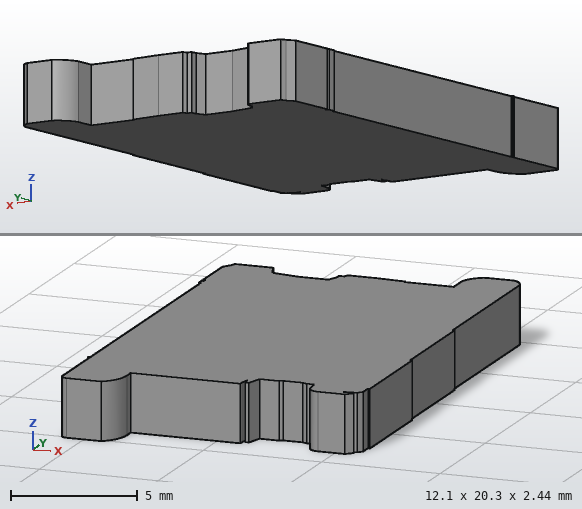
import cadquery as cq

width = 12.13
length = 20.32
thickness = 2.44
x_end = width / 2
y_end = length / 2

side_step = 0.08
left_x = -x_end + side_step
left_step_y = 5.4
right_middle_x = x_end - side_step
right_back_x = x_end - 2 * side_step
right_step_back_y = 2.15
right_step_middle_y = -2.76
right_step_front_y = -7.42

front_lug_flat_x = (-5.7, -4.23)
front_lug_inner_x = -3.62
front_lug_outer_round_y = -9.88
front_lug_outer_round_mid = (-5.9, -10.08)
front_lug_inner_round_y = -8.95
front_lug_inner_round_mid = (-3.82, -9.71)
back_lug_flat_x = (4.23, 5.4)
back_lug_inner_x = 3.55
back_lug_outer_round_y = 9.45
back_lug_outer_round_mid = (5.73, 9.94)
back_lug_inner_round_y = 9.3
back_lug_inner_round_mid = (3.8, 9.83)

front_short_lug_y = -8.58
front_short_lug_flat_x = (4.3, 5.45)
front_short_lug_root_x = 3.75
front_short_lug_round_start = (3.85, -8.2)
front_short_lug_round_mid = (3.98, -8.45)
back_short_lug_y = 8.62
back_short_lug_flat_x = (-5.75, -4.2)
back_short_lug_shoulder = (-4.08, 8.53)
back_short_lug_fillet_mid = (-3.9, 7.95)
back_short_lug_fillet_end = (-4.0, 8.17)
back_short_lug_outer_bend = (-5.83, 8.4)
back_short_lug_outer_y = 8.05

corner_slit_front = (5.73, -8.31)
corner_slit_tip = (5.26, -8.23)
corner_slit_back = (5.81, -8.17)
corner_cut_end_y = -7.97

front_land_y = -8.51
front_land_end_x = 1.02
land_slit_mouth_y = -8.27
land_slit_tip = (1.08, -7.9)
land_slit_tooth_x = (1.12, 1.28)

front_recess_y = -7.58
front_recess_start_x = 1.46
front_crown_y = -7.5
front_crown_base_x = (2.3, 3.45)
front_crown_top_x = (2.44, 3.25)

back_land_y = 8.58
back_land_flat_x = (-0.98, 0.2)
back_land_slope_end = (1.48, 8.5)
back_land_low_y = 8.41

back_ledge_y = 8.37
back_ledge_x = (-1.25, -1.05)
back_recess_wall_bend = (-1.28, 8.09)
back_recess_y = 7.68
back_recess_flat_x = (-2.75, -1.46)
back_recess_slope_end = (-3.7, 7.85)

left_notch_y = 5.83
left_notch_width = 0.12
left_tooth_y = -6.8
left_tooth_width = 0.08


def follow(path, *points):
    """Continue the outline with straight lines through the points."""
    for x, y in points:
        path = path.lineTo(x, y)
    return path


def front_edge(path):
    """Tall lug, land, recess and short lug, left to right."""
    path = path.moveTo(left_x, front_lug_outer_round_y)
    path = path.threePointArc(front_lug_outer_round_mid, (front_lug_flat_x[0], -y_end))
    path = path.lineTo(front_lug_flat_x[1], -y_end)
    path = path.threePointArc(front_lug_inner_round_mid, (front_lug_inner_x, front_lug_inner_round_y))
    path = follow(
        path,
        (front_lug_inner_x, front_land_y),
        (front_land_end_x, front_land_y),
        (front_land_end_x, land_slit_mouth_y),
        land_slit_tip,
        (land_slit_tooth_x[0], land_slit_mouth_y),
        (land_slit_tooth_x[1], land_slit_mouth_y),
        (front_recess_start_x, front_recess_y),
        (front_crown_base_x[0], front_recess_y),
        (front_crown_top_x[0], front_crown_y),
        (front_crown_top_x[1], front_crown_y),
        (front_crown_base_x[1], front_recess_y),
        (front_short_lug_root_x, front_recess_y),
        front_short_lug_round_start,
    )
    path = path.threePointArc(front_short_lug_round_mid, (front_short_lug_flat_x[0], front_short_lug_y))
    return path.lineTo(front_short_lug_flat_x[1], front_short_lug_y)


def right_side(path):
    """Cut corner with its slit, then the stepped side, front to back."""
    return follow(
        path,
        corner_slit_front,
        corner_slit_tip,
        corner_slit_back,
        (right_middle_x, corner_cut_end_y),
        (right_middle_x, right_step_front_y),
        (x_end, right_step_front_y),
        (x_end, right_step_middle_y),
        (right_middle_x, right_step_middle_y),
        (right_middle_x, right_step_back_y),
        (right_back_x, right_step_back_y),
        (right_back_x, back_lug_outer_round_y),
    )


def back_edge(path):
    """Tall lug, land, recess and short lug, right to left."""
    path = path.threePointArc(back_lug_outer_round_mid, (back_lug_flat_x[1], y_end))
    path = path.lineTo(back_lug_flat_x[0], y_end)
    path = path.threePointArc(back_lug_inner_round_mid, (back_lug_inner_x, back_lug_inner_round_y))
    path = follow(
        path,
        (back_lug_inner_x, back_land_low_y),
        (back_land_slope_end[0], back_land_low_y),
        back_land_slope_end,
        (back_land_flat_x[1], back_land_y),
        (back_land_flat_x[0], back_land_y),
        (back_ledge_x[1], back_ledge_y),
        (back_ledge_x[0], back_ledge_y),
        back_recess_wall_bend,
        (back_recess_flat_x[1], back_recess_y),
        (back_recess_flat_x[0], back_recess_y),
        back_recess_slope_end,
    )
    path = path.threePointArc(back_short_lug_fillet_mid, back_short_lug_fillet_end)
    return follow(
        path,
        back_short_lug_shoulder,
        (back_short_lug_flat_x[1], back_short_lug_y),
        (back_short_lug_flat_x[0], back_short_lug_y),
        back_short_lug_outer_bend,
        (-x_end, back_short_lug_outer_y),
    )


def jog(path, side_x, other_x, centre_y, jog_width):
    """Step from one X to another and back while running toward -Y."""
    start_y = centre_y + jog_width / 2
    end_y = centre_y - jog_width / 2
    return follow(path, (side_x, start_y), (other_x, start_y), (other_x, end_y), (side_x, end_y))


def left_side(path):
    """Stepped side with its notch and tooth, back to front, closing the outline."""
    path = jog(path, -x_end, left_x, left_notch_y, left_notch_width)
    path = follow(path, (-x_end, left_step_y), (left_x, left_step_y))
    path = jog(path, left_x, -x_end, left_tooth_y, left_tooth_width)
    return path.close()


outline = cq.Workplane("XY")
for section in (front_edge, right_side, back_edge, left_side):
    outline = section(outline)

result = outline.extrude(thickness)